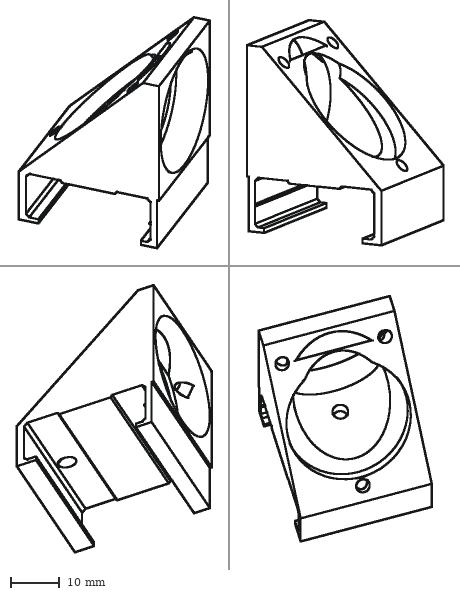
import cadquery as cq

length = 31.0
width = 28.0
height = 38.95
roof_z = 11.45
slope_run = height - roof_z

left_wall = 1.65
right_inner_x = 29.15
right_outer_x = 30.58
lip_thickness = 1.0
left_lip_end = 4.35
right_lip_end = 27.0
roof_chamfer = 0.78
lip_chamfer = 0.7
pad_start = 9.25
pad_end = 21.65
pad_drop = 0.55
pad_chamfer = 0.4

rib_depth = 0.27
rib_z = 5.57

bore_diameter = 20.0
bore_z = 25.2
seat_diameter = 26.0
seat_floor_x = 24.0

recess_x = 13.0
recess_depth = 3.2

screw_diameter = 2.8
screw_depth = 5.0
upper_screw_x = seat_floor_x
upper_screw_y = 11.0
lower_screw_x = 2.4

pin_diameter = 3.15
pin_x = 19.15
pin_floor_z = 12.07


def make_body():
    """Wedge and clip rails, extruded across the full width."""
    pad_z = roof_z - pad_drop
    outline = [
        (0, 0),
        (left_lip_end, 0),
        (left_lip_end, lip_thickness),
        (left_wall + lip_chamfer, lip_thickness),
        (left_wall, lip_thickness + lip_chamfer),
        (left_wall, roof_z - roof_chamfer),
        (left_wall + roof_chamfer, roof_z),
        (pad_start, roof_z),
        (pad_start + pad_chamfer, pad_z),
        (pad_end - pad_chamfer, pad_z),
        (pad_end, roof_z),
        (right_inner_x - roof_chamfer, roof_z),
        (right_inner_x, roof_z - roof_chamfer),
        (right_inner_x, lip_thickness + lip_chamfer),
        (right_inner_x - lip_chamfer, lip_thickness),
        (right_lip_end, lip_thickness),
        (right_lip_end, 0),
        (right_outer_x, 0),
        (right_outer_x, roof_z),
        (length, roof_z),
        (length, height),
        (slope_run, height),
        (0, roof_z),
    ]
    return cq.Workplane("XZ").polyline(outline).close().extrude(width / 2, both=True)


def make_rib():
    """Pointed locating rib; the diamond section is half buried in the wall."""
    section = [
        (right_inner_x - rib_depth, rib_z),
        (right_inner_x, rib_z + rib_depth),
        (right_inner_x + rib_depth, rib_z),
        (right_inner_x, rib_z - rib_depth),
    ]
    return cq.Workplane("XZ").polyline(section).close().extrude(width / 2, both=True)


def horizontal_cylinder(diameter, start_x):
    """Cutter on the bore axis, from start_x to the +X side."""
    plane = cq.Workplane("YZ", origin=(start_x, 0, bore_z))
    return plane.circle(diameter / 2).extrude(length - start_x)


def slope_cylinder(x, y, diameter, depth):
    """Cutter square to the sloped face, entering at the given x and y."""
    start = cq.Vector(x, y, roof_z + x)
    inward = cq.Vector(1, 0, -1)
    overrun = inward.normalized() * (diameter / 2)
    cutter_length = depth + diameter / 2
    cutter = cq.Solid.makeCylinder(diameter / 2, cutter_length, start - overrun, inward)
    return cq.Workplane(cutter)


def make_pin_hole():
    plane = cq.Workplane("XY", origin=(pin_x, 0, pin_floor_z))
    return plane.circle(pin_diameter / 2).extrude(bore_z - pin_floor_z)


result = make_body().union(make_rib())
result = result.cut(horizontal_cylinder(bore_diameter, 0))
result = result.cut(horizontal_cylinder(seat_diameter, seat_floor_x))
result = result.cut(slope_cylinder(recess_x, 0, seat_diameter, recess_depth))

screw_positions = [
    (lower_screw_x, 0),
    (upper_screw_x, upper_screw_y),
    (upper_screw_x, -upper_screw_y),
]
for screw_x, screw_y in screw_positions:
    result = result.cut(slope_cylinder(screw_x, screw_y, screw_diameter, screw_depth))

result = result.cut(make_pin_hole())